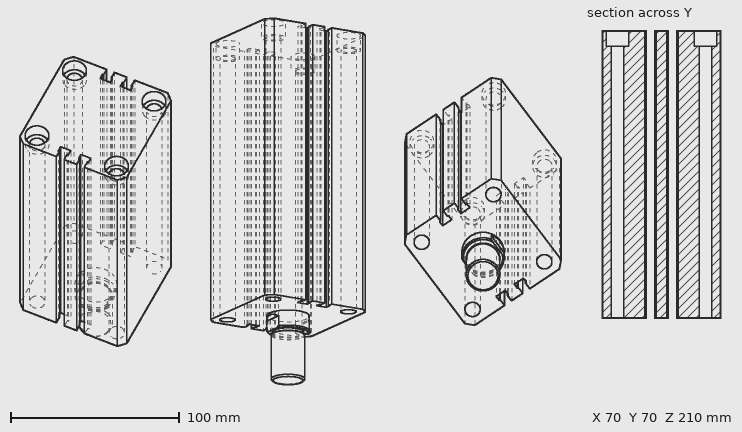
import cadquery as cq

total_length = 210.0
rod_extension = 40.0
housing_width = 70.0
housing_length = total_length - rod_extension
corner_turning_diameter = 93.0

hole_spacing = 52.0
hole_diameter = 9.0
counterbore_diameter = 14.0
counterbore_depth = 9.0

slot_spacing = 13.2
slot_depth = 7.5
slot_mouth_width = 5.0
slot_mouth_depth = 4.5
slot_head_width = 6.5

shoulder_diameter = 25.0
shoulder_length = 10.0
shoulder_chamfer = 0.8
wrench_size = 21.2
flat_start = 3.2
relief_diameter = 19.0
relief_width = 1.7
thread_diameter = 20.0
thread_chamfer = 1.0


def make_slot(center_x, side):
    """T-slot along the full housing, open to the -Y (side = -1) or +Y (side = 1) face."""
    face_y = side * housing_width / 2
    neck_y = side * (housing_width / 2 - slot_mouth_depth)
    floor_y = side * (housing_width / 2 - slot_depth)
    half_mouth = slot_mouth_width / 2
    half_head = slot_head_width / 2
    return (
        cq.Workplane("XY")
        .moveTo(center_x - half_mouth, face_y)
        .lineTo(center_x - half_mouth, neck_y)
        .lineTo(center_x - half_head, neck_y)
        .lineTo(center_x - half_head, floor_y)
        .lineTo(center_x + half_head, floor_y)
        .lineTo(center_x + half_head, neck_y)
        .lineTo(center_x + half_mouth, neck_y)
        .lineTo(center_x + half_mouth, face_y)
        .close()
        .extrude(housing_length)
    )


def make_housing():
    """Square profile with corners turned to one common cylinder, corner mounting holes and T-slots."""
    turned_outline = cq.Workplane("XY").circle(corner_turning_diameter / 2).extrude(housing_length)
    body = cq.Workplane("XY").rect(housing_width, housing_width).extrude(housing_length)
    body = body.intersect(turned_outline)
    body = (
        body.faces(">Z")
        .workplane()
        .rect(hole_spacing, hole_spacing, forConstruction=True)
        .vertices()
        .cboreHole(hole_diameter, counterbore_diameter, counterbore_depth)
    )
    for side in (-1, 1):
        for center_x in (-slot_spacing / 2, slot_spacing / 2):
            body = body.cut(make_slot(center_x, side))
    return body


def make_flat_cutter(side):
    """Material removed for the wrench flat on the -X or +X side, with a 45 degree run-out."""
    flat_x = side * wrench_size / 2
    outer_x = side * shoulder_diameter / 2
    run_out = (shoulder_diameter - wrench_size) / 2
    return (
        cq.Workplane("XZ")
        .moveTo(flat_x, -shoulder_length)
        .lineTo(flat_x, -flat_start)
        .lineTo(outer_x, -flat_start + run_out)
        .lineTo(outer_x, -shoulder_length)
        .close()
        .extrude(shoulder_diameter / 2, both=True)
    )


def make_rod():
    """Turned rod end pointing down from the housing, with two opposite wrench flats."""
    shoulder_radius = shoulder_diameter / 2
    relief_radius = relief_diameter / 2
    thread_radius = thread_diameter / 2
    thread_start = shoulder_length + relief_width
    rod = (
        cq.Workplane("XZ")
        .moveTo(0, 0)
        .lineTo(shoulder_radius, 0)
        .lineTo(shoulder_radius, -shoulder_length + shoulder_chamfer)
        .lineTo(shoulder_radius - shoulder_chamfer, -shoulder_length)
        .lineTo(relief_radius, -shoulder_length)
        .lineTo(relief_radius, -thread_start)
        .lineTo(thread_radius, -thread_start)
        .lineTo(thread_radius, -rod_extension + thread_chamfer)
        .lineTo(thread_radius - thread_chamfer, -rod_extension)
        .lineTo(0, -rod_extension)
        .close()
        .revolve(360, (0, 0, 0), (0, 1, 0))
    )
    for side in (-1, 1):
        rod = rod.cut(make_flat_cutter(side))
    return rod


housing = make_housing()
rod = make_rod()

result = cq.Compound.makeCompound([housing.val(), rod.val()])